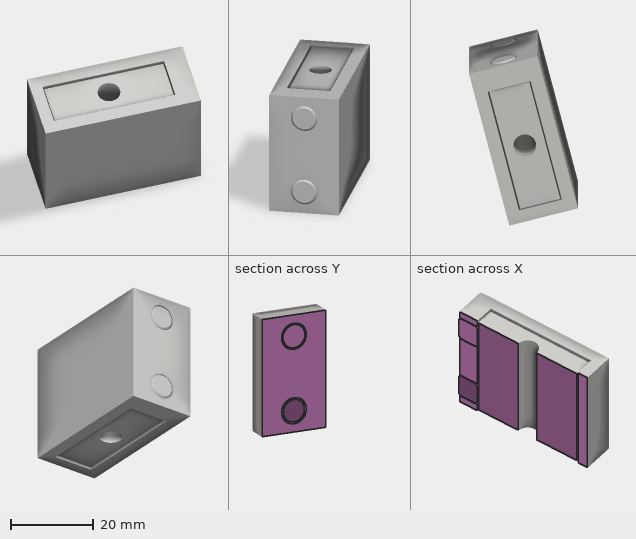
import cadquery as cq

overall_length = 39.3
housing_width = 17.2
housing_height = 30.0

pin_diameter = 6.52
pin_length = 5.78
pin_chamfer = 0.5
pin_end_distance = 5.5
upper_pin_protrusion = 0.2
lower_pin_protrusion = 0.3

housing_length = overall_length - lower_pin_protrusion
housing_back_y = housing_length / 2

pocket_width = 10.75
pocket_length = 30.5
front_wall = 3.0
pocket_center_y = -housing_back_y + front_wall + pocket_length / 2
pocket_back_y = pocket_center_y + pocket_length / 2
back_wall = housing_back_y - pocket_back_y

core_width = 10.0
core_length = 30.0
core_recess = 0.5
core_height = housing_height - 2 * core_recess
core_bore_diameter = 5.5

pin_layout = [
    (pin_end_distance, lower_pin_protrusion),
    (housing_height - pin_end_distance, upper_pin_protrusion),
]


def make_rod(back_y, axis_z, length):
    """A cylinder of pin diameter that runs from back_y toward -Y."""
    return cq.Workplane("XZ", origin=(0, back_y, axis_z)).circle(pin_diameter / 2).extrude(length)


def make_housing():
    block = cq.Workplane("XY").rect(housing_width, housing_length).extrude(housing_height)
    pocket = (
        cq.Workplane("XY", origin=(0, pocket_center_y, 0))
        .rect(pocket_width, pocket_length)
        .extrude(housing_height)
    )
    sleeve = block.cut(pocket)
    for axis_z, _ in pin_layout:
        sleeve = sleeve.cut(make_rod(housing_back_y, axis_z, back_wall))
    return sleeve


def make_core():
    return (
        cq.Workplane("XY", origin=(0, pocket_center_y, core_recess))
        .rect(core_width, core_length)
        .circle(core_bore_diameter / 2)
        .extrude(core_height)
    )


def make_pin(axis_z, protrusion):
    rod = make_rod(housing_back_y + protrusion, axis_z, pin_length)
    return rod.faces("<Y or >Y").chamfer(pin_chamfer)


housing = make_housing()
core = make_core()
pins = [make_pin(axis_z, protrusion) for axis_z, protrusion in pin_layout]

result = cq.Compound.makeCompound([housing.val(), core.val(), *[pin.val() for pin in pins]])